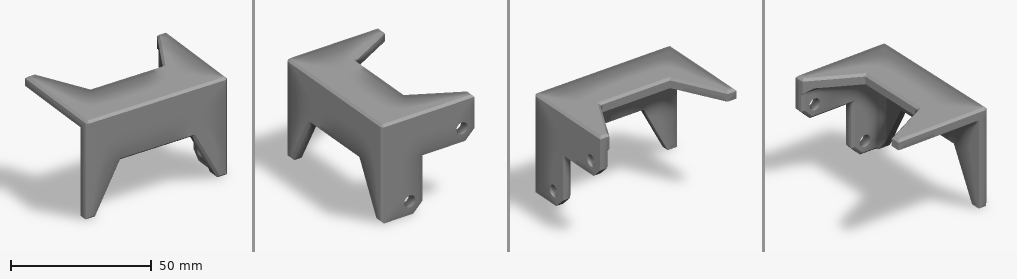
import cadquery as cq

length = 60.0
leg = 40.0
half_length = length / 2
half_leg = leg / 2

plate_thickness = 4.0
plate_bevel = 0.9
tip_width = 4.0
notch_half_width = 15.35
notch_depth = half_leg

flange_thickness = 4.0
flange_width = 17.5
corner_cut = 4.0
flange_bevel = 1.0

hole_diameter = 4.8
hole_from_end = 5.45
hole_from_outside = 12.0

gusset_leg = 2.0

plate_inside = half_leg - plate_thickness
flange_inside = half_length - flange_thickness


def plate_outline(workplane):
    """Draw a plate: local x runs along the leg away from the free end, local y along the length."""
    tip_inside = half_length - tip_width
    notch_bottom = notch_depth - half_leg
    return workplane.polyline([
        (-half_leg, half_length),
        (half_leg, half_length),
        (half_leg, -half_length),
        (-half_leg, -half_length),
        (-half_leg, -tip_inside),
        (notch_bottom, -notch_half_width),
        (notch_bottom, notch_half_width),
        (-half_leg, tip_inside),
    ]).close()


def make_top_leg(depth):
    """Notched leg reaching down from the top face by the given depth."""
    return plate_outline(cq.Workplane("XY", origin=(0, 0, half_leg))).extrude(-depth)


def make_side_leg(depth):
    """Notched leg reaching inward from the +X face by the given depth."""
    side_plane = cq.Plane(origin=(half_leg, 0, 0), xDir=(0, 0, 1), normal=(-1, 0, 0))
    return plate_outline(cq.Workplane(side_plane)).extrude(depth)


def make_plates():
    plates = make_top_leg(plate_thickness).union(make_side_leg(plate_thickness))
    return plates.faces(">Z or >X").edges().chamfer(plate_bevel)


def make_flange():
    buried = half_leg - plate_thickness / 2
    inner = half_leg - flange_width
    flange_plane = cq.Workplane("XZ", origin=(0, half_length, 0))
    flange = flange_plane.polyline([
        (-half_leg, buried),
        (buried, buried),
        (buried, -half_leg),
        (inner + corner_cut, -half_leg),
        (inner, -half_leg + corner_cut),
        (inner, inner),
        (-half_leg + corner_cut, inner),
        (-half_leg, inner + corner_cut),
    ]).close().extrude(flange_thickness)
    flange = flange.faces("<Y").edges().chamfer(flange_bevel)
    hole_near_end = -half_leg + hole_from_end
    hole_across = half_leg - hole_from_outside
    holes = (
        flange_plane
        .pushPoints([(hole_near_end, hole_across), (hole_across, hole_near_end)])
        .circle(hole_diameter / 2)
        .extrude(flange_thickness)
    )
    return flange.cut(holes)


def make_gussets():
    reach = gusset_leg + flange_bevel
    profile = [
        (flange_inside - gusset_leg, plate_inside),
        (flange_inside + flange_bevel, plate_inside),
        (flange_inside + flange_bevel, plate_inside - reach),
    ]
    top_gusset = cq.Workplane("YZ", origin=(-half_leg, 0, 0)).polyline(profile).close()
    top_gusset = top_gusset.extrude(half_leg + plate_inside)
    side_profile = [(x, y) for y, x in profile]
    side_gusset = cq.Workplane("XY", origin=(0, 0, -half_leg)).polyline(side_profile).close()
    side_gusset = side_gusset.extrude(half_leg + plate_inside)
    depth = plate_thickness + reach
    top_gusset = top_gusset.intersect(make_top_leg(depth))
    return top_gusset.union(side_gusset.intersect(make_side_leg(depth)))


result = make_plates().union(make_flange()).union(make_gussets())